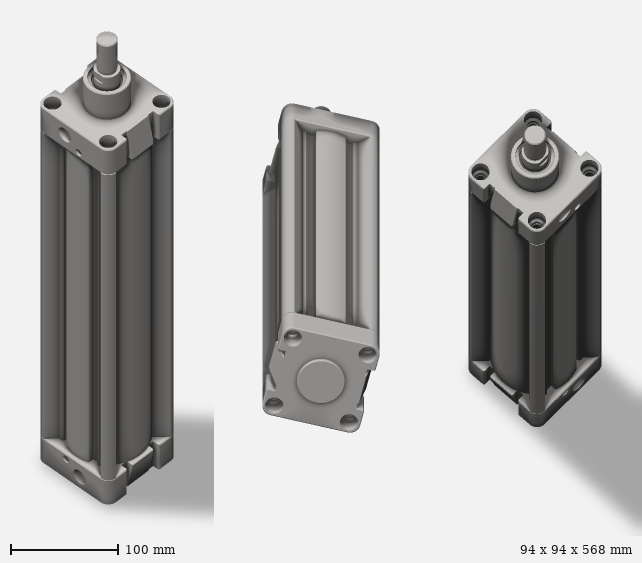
import cadquery as cq
import math


width = 94.0
half = width / 2
corner_radius = 10.0
flank_start = half - corner_radius
body_length = 478.0
cap_length = 33.5
cap_chamfer = 1.0
barrel_length = body_length - 2 * cap_length

barrel_radius = 42.5
bulge_half = 24.6
bulge_edge = math.sqrt(barrel_radius**2 - bulge_half**2)
ridge_half = 13.5
ridge_edge = math.sqrt(barrel_radius**2 - ridge_half**2)
groove_inner = 14.5
groove_outer = 21.5
groove_floor = 34.0
lip_bend = 23.5
lip_outer = 26.5
lip_height = half - (flank_start - lip_outer)
lip_rise = 0.4
edge_break = groove_inner - ridge_half

screw_pitch = 72.0
screw_bore = 8.5
screw_step_diameter = 11.0
screw_step_depth = 20.0
screw_head_diameter = 17.0
screw_head_depth = 16.0

slot_inner = 14.3
slot_outer = 21.5
slot_floor = 39.0
slot_mouth_break = 1.2
panel_depth = 7.0

port_diameter = 16.6
port_depth = half
port_offset = 9.6
port_inset = 15.5
cushion_diameter = 8.0
cushion_depth = 3.0
cushion_offset = 8.2
cushion_inset = 26.7
rear_bore_diameter = 34.0
rear_bore_length = 22.0

collar_diameter = 45.0
front_collar_height = 34.0
rear_collar_height = 4.0
collar_chamfer = 0.8
collar_recess_diameter = 37.0
collar_recess_depth = 4.0
seal_diameter = 30.0
seal_depth = 4.0
rod_diameter = 25.0
rod_extension = 46.0
thread_diameter = 20.0
thread_length = 40.0
thread_chamfer = 1.0
neck_diameter = 18.4
neck_length = 3.5
flat_width = 22.0
flat_length = 8.5


def cylinder(diameter, z_start, height):
    """Cylinder on the main axis."""
    return cq.Workplane("XY").workplane(offset=z_start).circle(diameter / 2).extrude(height)


def face_profile():
    """Half of a grooved barrel face, on the +Y side, from the corner to the middle."""
    return [
        (flank_start, half),
        (lip_outer, lip_height),
        (lip_bend, lip_height + lip_rise),
        (groove_outer, lip_height - edge_break),
        (groove_outer, groove_floor),
        (groove_inner, groove_floor),
        (groove_inner, ridge_edge - edge_break),
        (ridge_half, ridge_edge),
    ]


def make_barrel():
    """Extruded profile: round bulges on four sides, sensor grooves on the +Y and -Y sides."""
    right_half = face_profile()
    left_half = [(-x, y) for x, y in reversed(right_half)]
    corner_mid = flank_start + corner_radius * math.sqrt(0.5)

    outline = cq.Workplane("XY").workplane(offset=cap_length).moveTo(*right_half[0])
    for side in (1, -1):
        for x, y in right_half[1:]:
            outline = outline.lineTo(side * x, side * y)
        outline = outline.threePointArc((0, side * barrel_radius),
                                        (-side * ridge_half, side * ridge_edge))
        for x, y in left_half[1:]:
            outline = outline.lineTo(side * x, side * y)
        outline = (
            outline
            .threePointArc((-side * corner_mid, side * corner_mid), (-side * half, side * flank_start))
            .lineTo(-side * bulge_edge, side * bulge_half)
            .threePointArc((-side * barrel_radius, 0), (-side * bulge_edge, -side * bulge_half))
            .lineTo(-side * half, -side * flank_start)
            .threePointArc((-side * corner_mid, -side * corner_mid),
                           (-side * flank_start, -side * half))
        )
    return outline.close().extrude(barrel_length)


def side_slot(side, end):
    """Slot with a bevelled mouth beside the panel; end is the sign of its Y position."""
    profile = [
        (slot_floor, slot_inner),
        (half - slot_mouth_break, slot_inner),
        (half, slot_inner - slot_mouth_break),
        (half, slot_outer + slot_mouth_break),
        (half - slot_mouth_break, slot_outer),
        (slot_floor, slot_outer),
    ]
    points = [(side * x, end * y) for x, y in profile]
    return cq.Workplane("XY").polyline(points).close().extrude(cap_length)


def side_recess(side):
    """Two slots and the sloping panel between them, in one side of the rear cap."""
    slots = side_slot(side, 1).union(side_slot(side, -1))
    panel = (
        cq.Workplane("XZ")
        .polyline([(side * half, 0), (side * (half - panel_depth), 0), (side * half, cap_length)])
        .close()
        .extrude(slot_inner, both=True)
    )
    return slots.union(panel)


def face_hole(diameter, depth, x, z):
    """Blind hole bored into the -Y face."""
    return (
        cq.Workplane("XZ", origin=(x, -half, z))
        .circle(diameter / 2)
        .extrude(-depth)
    )


def make_cap():
    """Rear end cap; the front cap is the same part turned over about the Y axis."""
    cap = cq.Workplane("XY").rect(width, width).extrude(cap_length)
    cap = cap.edges("|Z").fillet(corner_radius)
    cap = cap.faces("|Z").chamfer(cap_chamfer)
    for side in (1, -1):
        cap = cap.cut(side_recess(side))
    cap = cap.cut(face_hole(port_diameter, port_depth, port_offset, port_inset))
    cap = cap.cut(face_hole(cushion_diameter, cushion_depth, -cushion_offset, cushion_inset))
    for diameter, depth in (
        (screw_head_diameter, screw_head_depth),
        (screw_step_diameter, screw_step_depth),
    ):
        sockets = (
            cq.Workplane("XY")
            .rect(screw_pitch, screw_pitch, forConstruction=True)
            .vertices()
            .circle(diameter / 2)
            .extrude(depth)
        )
        cap = cap.cut(sockets)
    return cap


def make_screw_bores():
    """Four bores running the full length of the body."""
    return (
        cq.Workplane("XY")
        .rect(screw_pitch, screw_pitch, forConstruction=True)
        .vertices()
        .circle(screw_bore / 2)
        .extrude(body_length)
    )


def make_front_collar():
    """Guide collar with a stepped recess around the rod."""
    top = body_length + front_collar_height
    recess_floor = top - collar_recess_depth
    collar = cylinder(collar_diameter, body_length, front_collar_height)
    collar = collar.faces(">Z").edges().chamfer(collar_chamfer)
    collar = collar.cut(cylinder(collar_recess_diameter, recess_floor, collar_recess_depth))
    return collar.cut(cylinder(seal_diameter, recess_floor - seal_depth, seal_depth))


def make_rod():
    """Piston rod from inside the front cap, with two wrench flats, an undercut and the plain thread end."""
    shoulder = body_length + rod_extension
    rod = cylinder(rod_diameter, body_length - cap_length, cap_length + rod_extension)
    flat_depth = (rod_diameter - flat_width) / 2
    for side in (1, -1):
        flat = cq.Workplane("XY").box(rod_diameter, flat_depth, flat_length).translate(
            (0, side * (flat_width + flat_depth) / 2, shoulder - flat_length / 2)
        )
        rod = rod.cut(flat)
    rod = rod.union(cylinder(neck_diameter, shoulder, neck_length))
    thread = cylinder(thread_diameter, shoulder + neck_length, thread_length - neck_length)
    return rod.union(thread.faces(">Z").chamfer(thread_chamfer))


rear_cap = make_cap()
front_cap = rear_cap.rotate((0, 0, 0), (0, 1, 0), 180).translate((0, 0, body_length))
body = make_barrel().union(rear_cap).union(front_cap).cut(make_screw_bores())

rear_bore = cylinder(rear_bore_diameter, port_inset - rear_bore_length / 2, rear_bore_length)
body = body.cut(rear_bore)

rear_collar = cylinder(collar_diameter, -rear_collar_height, rear_collar_height)
rear_collar = rear_collar.faces("<Z").edges().chamfer(collar_chamfer)
result = body.union(rear_collar).union(make_front_collar()).union(make_rod())